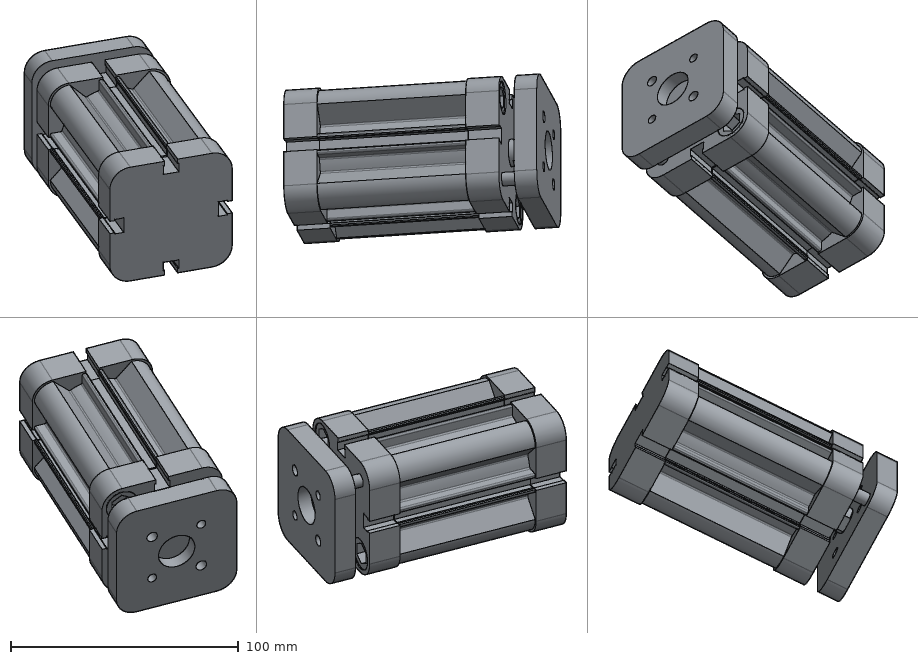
import cadquery as cq
import math


TOTAL_LENGTH = 113.0
PLATE_THICKNESS = 10.1
CAP_LENGTH = 14.8
ROD_GAP = 6.9

PLATE_BACK_X = PLATE_THICKNESS
HOUSING_FRONT_X = PLATE_BACK_X + ROD_GAP
TUBE_START_X = HOUSING_FRONT_X + CAP_LENGTH
TUBE_END_X = TOTAL_LENGTH - CAP_LENGTH
TUBE_LENGTH = TUBE_END_X - TUBE_START_X

SIDE = 57.0
HALF_SIDE = SIDE / 2
CORNER_RADIUS = 9.5
CORNER_AXIS_OFFSET = HALF_SIDE - CORNER_RADIUS

CENTRE_RECESS_DIAMETER = 17.2
CENTRE_RECESS_DEPTH = 6.3
PLATE_HOLE_OFFSET = 11.6
LARGE_PLATE_HOLE_DIAMETER = 5.0
SMALL_PLATE_HOLE_DIAMETER = 4.2

PISTON_ROD_DIAMETER = 12.1
PISTON_ROD_CHAMFER = 0.5
FLAT_WIDTH = 9.8
FLAT_LENGTH = 5.2

GUIDE_ROD_DIAMETER = 6.0

TUBE_HALF_SIDE = 27.6
LOBE_RADIUS = 9.0
LOBE_CENTRE = TUBE_HALF_SIDE - LOBE_RADIUS
CORE_RADIUS = 22.7
RIB_HALF_WIDTH = 4.9
PROFILE_FILLET = 0.8

CAP_SLOT_HALF_WIDTH = 3.0
CAP_SLOT_INNER_HALF_WIDTH = 3.6
CAP_SLOT_FLOOR = 22.0
TUBE_SLOT_HALF_WIDTH = 2.7
TUBE_SLOT_INNER_HALF_WIDTH = 3.2
TUBE_SLOT_FLOOR = 22.7
SLOT_MOUTH_CHAMFER = 0.5
SLOT_LIP_DEPTH = 2.3

SCREW_HEAD_DIAMETER = 14.7
SCREW_HEAD_RECESS = 0.6
SOCKET_SIDES = 6
SOCKET_ACROSS_FLATS = 9.0
SOCKET_DEPTH = 6.8

QUARTER_TURNS = [0, 90, 180, 270]
X_AXIS_END = (1, 0, 0)


def section_at(x):
    """Sketch plane across the cylinder axis: local x is +Y, local y is +Z."""
    return cq.Workplane("YZ", origin=(x, 0, 0))


def turn(shape, angle):
    """Turn a shape about the cylinder axis."""
    return shape.rotate((0, 0, 0), X_AXIS_END, angle)


def rounded_block(x, length):
    """Square block with rounded corners along X."""
    return section_at(x).rect(SIDE, SIDE).extrude(length).edges("|X").fillet(CORNER_RADIUS)


def make_plate():
    plate = rounded_block(0, PLATE_THICKNESS)
    recess = section_at(0).circle(CENTRE_RECESS_DIAMETER / 2).extrude(CENTRE_RECESS_DEPTH)
    offset = PLATE_HOLE_OFFSET
    large_holes = (
        section_at(0)
        .pushPoints([(offset, offset), (-offset, -offset)])
        .circle(LARGE_PLATE_HOLE_DIAMETER / 2)
        .extrude(PLATE_THICKNESS)
    )
    small_holes = (
        section_at(0)
        .pushPoints([(offset, -offset), (-offset, offset)])
        .circle(SMALL_PLATE_HOLE_DIAMETER / 2)
        .extrude(PLATE_THICKNESS)
    )
    return plate.cut(recess).cut(large_holes).cut(small_holes)


def make_piston_rod():
    """Rod bridging the gap, with two wrench flats facing up and down."""
    rod = section_at(PLATE_BACK_X).circle(PISTON_ROD_DIAMETER / 2).extrude(ROD_GAP)
    rod = rod.faces("<X").chamfer(PISTON_ROD_CHAMFER)
    flats_zone = section_at(PLATE_BACK_X).rect(SIDE, SIDE).rect(SIDE, FLAT_WIDTH).extrude(FLAT_LENGTH)
    return rod.cut(flats_zone)


def make_guide_rod(y, z):
    return section_at(PLATE_BACK_X).center(y, z).circle(GUIDE_ROD_DIAMETER / 2).extrude(ROD_GAP)


def make_slot(x, length, mouth_half_width, inner_half_width, floor, top):
    """Solid of the T-slot on the +Z side, from its floor up to the height `top`."""
    lip_bottom = HALF_SIDE - SLOT_LIP_DEPTH
    mouth = section_at(x).center(0, (floor + top) / 2).rect(2 * mouth_half_width, top - floor)
    undercut = (
        section_at(x)
        .center(0, (floor + lip_bottom) / 2)
        .rect(2 * inner_half_width, lip_bottom - floor)
    )
    return mouth.extrude(length).union(undercut.extrude(length))


def cut_slots(body, slot):
    for angle in QUARTER_TURNS:
        body = body.cut(turn(slot, angle))
    return body


def make_cap(x):
    slot = make_slot(
        x, CAP_LENGTH, CAP_SLOT_HALF_WIDTH, CAP_SLOT_INNER_HALF_WIDTH, CAP_SLOT_FLOOR, HALF_SIDE
    )
    return cut_slots(rounded_block(x, CAP_LENGTH), slot)


def make_lobe():
    """Arm toward the +Y +Z corner: two flanks parallel to the diagonal and a round end."""
    arc_middle = LOBE_CENTRE + LOBE_RADIUS / math.sqrt(2)
    return (
        section_at(TUBE_START_X)
        .moveTo(0, LOBE_RADIUS)
        .lineTo(LOBE_CENTRE, TUBE_HALF_SIDE)
        .threePointArc((arc_middle, arc_middle), (TUBE_HALF_SIDE, LOBE_CENTRE))
        .lineTo(LOBE_RADIUS, 0)
        .lineTo(0, 0)
        .close()
        .extrude(TUBE_LENGTH)
    )


def make_rib():
    """Rib along the middle of the +Z side."""
    return (
        section_at(TUBE_START_X)
        .center(0, TUBE_HALF_SIDE / 2)
        .rect(2 * RIB_HALF_WIDTH, TUBE_HALF_SIDE)
        .extrude(TUBE_LENGTH)
    )


def make_tube():
    tube = section_at(TUBE_START_X).circle(CORE_RADIUS).extrude(TUBE_LENGTH)
    for angle in QUARTER_TURNS:
        tube = tube.union(turn(make_lobe(), angle)).union(turn(make_rib(), angle))

    rib_corner_distance = math.hypot(RIB_HALF_WIDTH, TUBE_HALF_SIDE)
    round_limit = (rib_corner_distance + math.hypot(LOBE_CENTRE, TUBE_HALF_SIDE)) / 2

    def is_inner_edge(edge):
        return math.hypot(edge.Center().y, edge.Center().z) < round_limit

    tube = tube.edges("|X").filter(is_inner_edge).fillet(PROFILE_FILLET)

    slot = make_slot(
        TUBE_START_X,
        TUBE_LENGTH,
        TUBE_SLOT_HALF_WIDTH,
        TUBE_SLOT_INNER_HALF_WIDTH,
        TUBE_SLOT_FLOOR,
        TUBE_HALF_SIDE,
    )
    mouth_bevel = (
        section_at(TUBE_START_X)
        .moveTo(-TUBE_SLOT_HALF_WIDTH - SLOT_MOUTH_CHAMFER, TUBE_HALF_SIDE)
        .lineTo(TUBE_SLOT_HALF_WIDTH + SLOT_MOUTH_CHAMFER, TUBE_HALF_SIDE)
        .lineTo(TUBE_SLOT_HALF_WIDTH, TUBE_HALF_SIDE - SLOT_MOUTH_CHAMFER)
        .lineTo(-TUBE_SLOT_HALF_WIDTH, TUBE_HALF_SIDE - SLOT_MOUTH_CHAMFER)
        .close()
        .extrude(TUBE_LENGTH)
    )
    return cut_slots(tube, slot.union(mouth_bevel))


def make_screw_recess(y, z):
    """Shallow round recess above a screw head, with the hexagon socket below it."""
    recess = (
        section_at(HOUSING_FRONT_X).center(y, z).circle(SCREW_HEAD_DIAMETER / 2).extrude(SCREW_HEAD_RECESS)
    )
    corner_diameter = SOCKET_ACROSS_FLATS / math.cos(math.pi / SOCKET_SIDES)
    half_side_angle = 180 / SOCKET_SIDES
    socket = (
        section_at(HOUSING_FRONT_X)
        .center(y, z)
        .transformed(rotate=(0, 0, half_side_angle))
        .polygon(SOCKET_SIDES, corner_diameter)
        .extrude(SOCKET_DEPTH)
    )
    return recess.union(socket)


def make_housing():
    """Front cap, profiled tube and rear cap in one piece."""
    housing = make_cap(HOUSING_FRONT_X).union(make_tube()).union(make_cap(TUBE_END_X))
    for side in (1, -1):
        housing = housing.cut(make_screw_recess(side * CORNER_AXIS_OFFSET, side * CORNER_AXIS_OFFSET))
    return housing


plate = make_plate()
piston_rod = make_piston_rod()
housing = make_housing()
guide_rods = [make_guide_rod(side * CORNER_AXIS_OFFSET, -side * CORNER_AXIS_OFFSET) for side in (1, -1)]

result = cq.Compound.makeCompound(
    [plate.val(), piston_rod.val(), housing.val(), *[rod.val() for rod in guide_rods]]
)